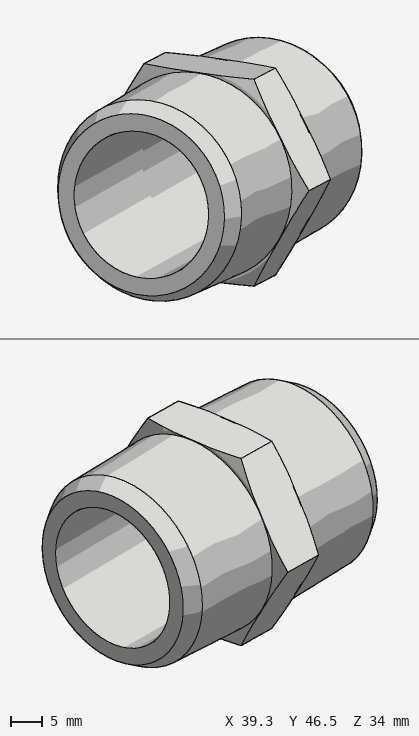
import cadquery as cq
import math

length = 46.5
across_flats = 34.0
bore_diameter = 24.0

hex_width = 8.65
hex_corner_radius = across_flats / math.sqrt(3)
collar_face_radius = 17.45
collar_chamfer_depth = 0.65

root_radius = 16.93
tip_radius = 16.4
end_face_radius = 14.85
end_chamfer_length = 2.8

half_length = length / 2
half_hex = hex_width / 2
chamfer_start = half_length - end_chamfer_length


def revolve_about_y(points):
    """Revolve a closed (radius, y) outline around the Y axis, starting in the YZ plane."""
    outline = cq.Workplane("YZ").polyline([(y, radius) for radius, y in points]).close()
    return outline.revolve(360, (0, 0, 0), (1, 0, 0))


def make_collar():
    """Hexagon with corners on X, its corners bevelled by a cone on each side."""
    hexagon = (
        cq.Workplane("XZ")
        .polygon(6, 2 * hex_corner_radius)
        .extrude(half_hex, both=True)
    )
    corner_y = half_hex - collar_chamfer_depth
    bevel = revolve_about_y([
        (0, -half_hex),
        (collar_face_radius, -half_hex),
        (hex_corner_radius, -corner_y),
        (hex_corner_radius, corner_y),
        (collar_face_radius, half_hex),
        (0, half_hex),
    ])
    return hexagon.intersect(bevel)


def make_tapered_end():
    """Slightly conical end on the +Y side with a chamfered tip."""
    return revolve_about_y([
        (0, 0),
        (root_radius, 0),
        (root_radius, half_hex),
        (tip_radius, chamfer_start),
        (end_face_radius, half_length),
        (0, half_length),
    ])


tapered_end = make_tapered_end()
bore = cq.Workplane("XZ").circle(bore_diameter / 2).extrude(half_length, both=True)

result = (
    make_collar()
    .union(tapered_end)
    .union(tapered_end.mirror("XZ"))
    .cut(bore)
)